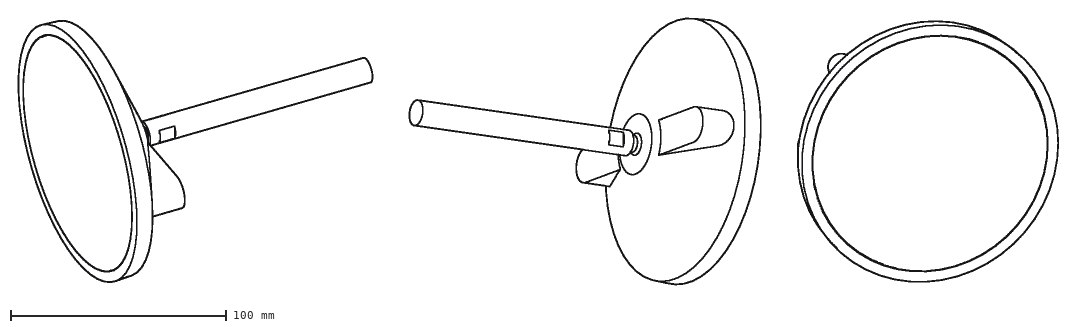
import cadquery as cq

total_length = 150.0

sole_diameter = 124.0
rim_top_diameter = 123.2
rim_height = 8.4
cone_top_diameter = 28.5
foot_height = 30.0

groove_outer_diameter = 114.0
pad_diameter = 113.5
groove_depth = 1.5

bar_length = 111.9
bar_width = 16.8
bar_top = 27.9

ball_diameter = 12.5
ball_center = 26.5
neck_diameter = 7.8
rod_diameter = 12.0
rod_start = 34.8
flats_start = 39.9
flats_length = 8.0
flats_width = 9.8


def disc(diameter, start, end):
    """Cylinder on the Y axis between two positions along Y."""
    plane = cq.Workplane("XZ", origin=(0, start, 0))
    return plane.circle(diameter / 2).extrude(start - end)


def make_foot():
    profile = [
        (0, 0),
        (sole_diameter / 2, 0),
        (rim_top_diameter / 2, rim_height),
        (cone_top_diameter / 2, foot_height),
        (0, foot_height),
    ]
    return cq.Workplane("XY").polyline(profile).close().revolve(360, (0, 0), (0, 1))


def make_groove():
    ring = disc(groove_outer_diameter, 0, groove_depth)
    return ring.cut(disc(pad_diameter, 0, groove_depth))


def make_cross_bar():
    plane = cq.Workplane("XZ", origin=(0, rim_height, 0))
    return plane.slot2D(bar_length, bar_width).extrude(rim_height - bar_top)


def make_spindle():
    ball = cq.Workplane("XY").sphere(ball_diameter / 2).translate((0, ball_center, 0))
    neck = disc(neck_diameter, ball_center, rod_start)
    rod = disc(rod_diameter, rod_start, total_length)
    flats_center = flats_start + flats_length / 2
    for side in (-1, 1):
        cutter = cq.Workplane("XY").box(rod_diameter, flats_length, rod_diameter)
        offset = side * (flats_width + rod_diameter) / 2
        rod = rod.cut(cutter.translate((offset, flats_center, 0)))
    return ball.union(neck).union(rod)


foot = make_foot().union(make_cross_bar()).cut(make_groove())
result = foot.union(make_spindle())